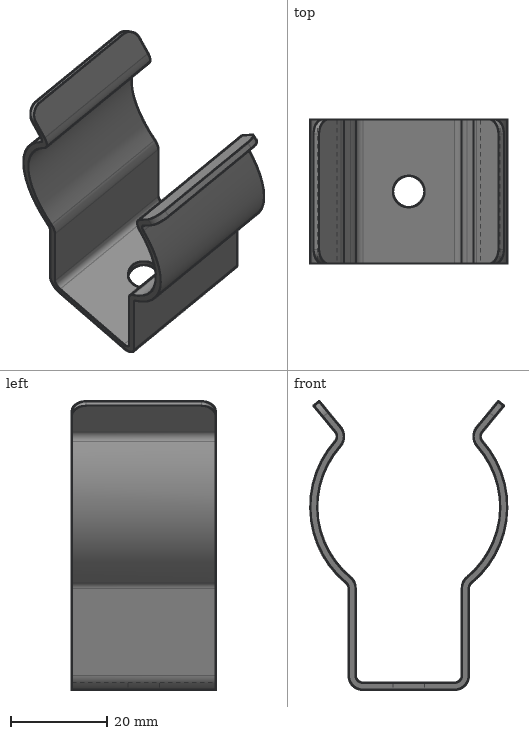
import cadquery as cq
import math

height = 60.0
depth = 30.0
thickness = 1.5
clasp_diameter = 41.0
clasp_height = 38.05
base_width = 25.0
neck_gap = 26.9
lip_angle = 50.5
tight_radius = 1.5
lip_corner_radius = 3.0
hole_diameter = 6.5

wide_radius = tight_radius + thickness
clasp_radius = clasp_diameter / 2
wall_x = base_width / 2

bend_reach = clasp_radius + tight_radius
base_bend = (wall_x - wide_radius, wide_radius)
waist_x = wall_x + tight_radius
waist_angle = -math.degrees(math.acos(waist_x / bend_reach))
waist_bend = (waist_x, clasp_height + bend_reach * math.sin(math.radians(waist_angle)))
neck_x = neck_gap / 2 + wide_radius
neck_angle = math.degrees(math.acos(neck_x / bend_reach))
neck_bend = (neck_x, clasp_height + bend_reach * math.sin(math.radians(neck_angle)))
clasp_center = (0, clasp_height)

lip_run = (math.cos(math.radians(lip_angle)), math.sin(math.radians(lip_angle)))
lip_normal_angle = lip_angle + 90
lip_length = (height - neck_bend[1] - wide_radius * lip_run[0]) / lip_run[1]


def polar(center, radius, angle):
    """Point at an angle (degrees) on a circle in the XZ plane."""
    turn = math.radians(angle)
    return (center[0] + radius * math.cos(turn), center[1] + radius * math.sin(turn))


def lip_tip(radius):
    """End of the lip face that leaves the neck bend at the given radius."""
    x, z = polar(neck_bend, radius, lip_normal_angle)
    return (x + lip_length * lip_run[0], z + lip_length * lip_run[1])


def bend(outline, center, radius, start, end):
    """Continue the outline along an arc that begins at its current point."""
    return outline.threePointArc(polar(center, radius, (start + end) / 2), polar(center, radius, end))


def half_clip():
    """Right half of the bent strip, with its lip corners rounded."""
    inner_radius = clasp_radius - thickness
    waist_end = 180 + waist_angle
    neck_start = 180 + neck_angle

    outline = cq.Workplane("XZ").lineTo(base_bend[0], 0)
    outline = bend(outline, base_bend, wide_radius, -90, 0)
    outline = outline.lineTo(wall_x, waist_bend[1])
    outline = bend(outline, waist_bend, tight_radius, 180, waist_end)
    outline = bend(outline, clasp_center, clasp_radius, waist_angle, neck_angle)
    outline = bend(outline, neck_bend, tight_radius, neck_start, lip_normal_angle)
    outline = outline.lineTo(*lip_tip(tight_radius)).lineTo(*lip_tip(wide_radius))

    outline = outline.lineTo(*polar(neck_bend, wide_radius, lip_normal_angle))
    outline = bend(outline, neck_bend, wide_radius, lip_normal_angle, neck_start)
    outline = bend(outline, clasp_center, inner_radius, neck_angle, waist_angle)
    outline = bend(outline, waist_bend, wide_radius, waist_end, 180)
    outline = outline.lineTo(wall_x - thickness, base_bend[1])
    outline = bend(outline, base_bend, tight_radius, 0, -90)
    strip = outline.lineTo(0, thickness).close().extrude(depth / 2, both=True)

    across_lip = cq.Vector(lip_run[1], 0, -lip_run[0])
    corners = strip.edges(cq.selectors.ParallelDirSelector(across_lip))
    return corners.fillet(lip_corner_radius)


right_half = half_clip()
clip = right_half.union(right_half.mirror("YZ")).clean()

hole = cq.Workplane("XY").circle(hole_diameter / 2).extrude(thickness)
result = clip.cut(hole)